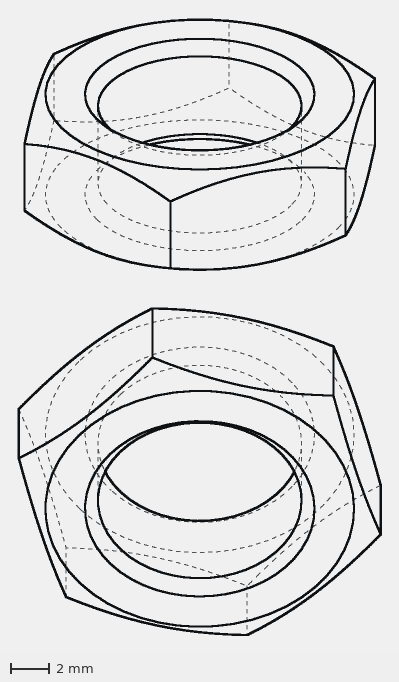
import cadquery as cq
import math

hexagon_sides = 6
across_corners = 19.63
thickness = 6.0
corner_turn = 90.0

face_diameter = 16.14
corner_chamfer_angle = 30.0

bore_diameter = 10.64
countersink_diameter = 12.0
countersink_angle = 45.0


def revolve_with_coned_ends(body_diameter, end_diameter, cone_angle):
    """Cylinder of the nut's thickness whose ends widen or narrow to end_diameter."""
    body_radius = body_diameter / 2
    end_radius = end_diameter / 2
    top = thickness / 2
    cone_height = abs(body_radius - end_radius) * math.tan(math.radians(cone_angle))
    shoulder = top - cone_height
    return (
        cq.Workplane("XZ")
        .polyline([
            (0, -top),
            (end_radius, -top),
            (body_radius, -shoulder),
            (body_radius, shoulder),
            (end_radius, top),
            (0, top),
        ])
        .close()
        .revolve(360, (0, 0), (0, 1))
    )


def make_hexagon():
    return (
        cq.Workplane("XY")
        .polygon(hexagon_sides, across_corners)
        .extrude(thickness / 2, both=True)
        .rotate((0, 0, 0), (0, 0, 1), corner_turn)
    )


def make_nut():
    """Hexagon nut with chamfered corners and a bore countersunk at both ends."""
    corner_envelope = revolve_with_coned_ends(across_corners, face_diameter, corner_chamfer_angle)
    bore = revolve_with_coned_ends(bore_diameter, countersink_diameter, countersink_angle)
    return make_hexagon().intersect(corner_envelope).cut(bore)


nut = make_nut()

result = cq.Compound.makeCompound([nut.val()])